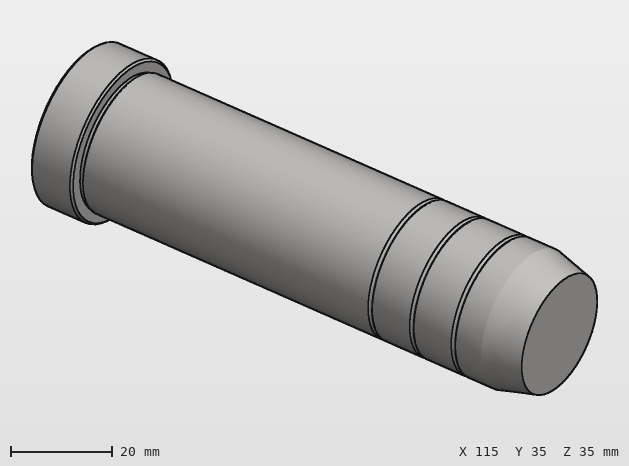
import cadquery as cq

length = 115.0
head_diameter = 35.0
head_thickness = 10.0
head_edge_chamfer = 0.5
shaft_diameter = 30.0

neck_width = 0.9
neck_depth = 0.29

taper_length = 8.3
tip_diameter = 25.6

groove_count = 3
groove_pitch = 10.0
first_groove_x = 80.0
groove_radius = 0.5


def cylinder(start_x, cylinder_length, diameter):
    """Solid cylinder along +X, starting at start_x."""
    return cq.Workplane("YZ", origin=(start_x, 0, 0)).circle(diameter / 2).extrude(cylinder_length)


def make_head():
    """Round head with both rims chamfered."""
    return cylinder(0, head_thickness, head_diameter).edges().chamfer(head_edge_chamfer)


def make_shaft():
    """Neck, shaft and tapered tip, revolved about the X axis."""
    shaft_radius = shaft_diameter / 2
    neck_radius = shaft_radius - neck_depth
    neck_end_x = head_thickness + neck_width
    return (
        cq.Workplane("XZ")
        .moveTo(head_thickness, 0)
        .lineTo(head_thickness, neck_radius)
        .lineTo(neck_end_x, neck_radius)
        .lineTo(neck_end_x, shaft_radius)
        .lineTo(length - taper_length, shaft_radius)
        .lineTo(length, tip_diameter / 2)
        .lineTo(length, 0)
        .close()
        .revolve(360, (0, 0, 0), (1, 0, 0))
    )


def make_groove_cutter(center_x):
    """Ring of circular section, centred on the shaft surface."""
    return (
        cq.Workplane("XZ")
        .center(center_x, shaft_diameter / 2)
        .circle(groove_radius)
        .revolve(360, (0, -shaft_diameter / 2, 0), (1, -shaft_diameter / 2, 0))
    )


result = make_head().union(make_shaft())
for groove_index in range(groove_count):
    result = result.cut(make_groove_cutter(first_groove_x + groove_index * groove_pitch))